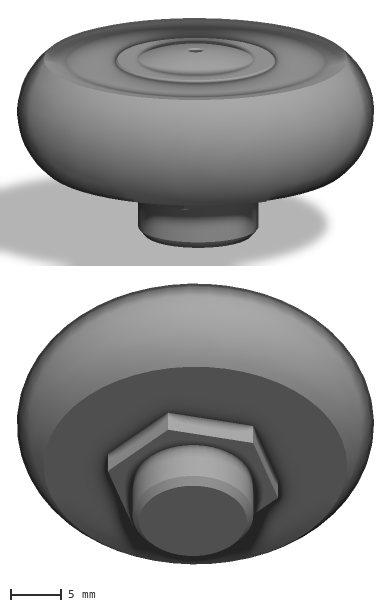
import cadquery as cq

wheel_radius = 17.78
wheel_height = 10.9
wheel_face_radius = 15.1
dish_floor_radius = 12.98
dish_depth = 0.25

hub_base_radius = 8.0
hub_top_radius = 7.8
dome_base_radius = 5.75
dimple_radius = 0.8
dimple_depth = dimple_radius

eccentricity = 0.35
hex_across_corners = 17.42
hex_height = 2.25
stub_radius = 6.0
stub_height = 4.8
chamfer_height = 0.75
chamfer_width = 0.65

overall_height = 18.88
wheel_bottom = stub_height + hex_height
wheel_middle = wheel_bottom + wheel_height / 2
wheel_top = wheel_bottom + wheel_height
dish_floor = wheel_top - dish_depth

dimple_rim_rise = overall_height - wheel_top
sphere_drop = (dome_base_radius**2 - dimple_radius**2 - dimple_rim_rise**2) / (2 * dimple_rim_rise)
sphere_radius = (dome_base_radius**2 + sphere_drop**2) ** 0.5


def dome_height_at(radius):
    return wheel_top - sphere_drop + (sphere_radius**2 - radius**2) ** 0.5


def make_wheel():
    """Revolve the crowned rim, shallow dish, raised hub and dimpled dome."""
    dome_mid_radius = (dome_base_radius + dimple_radius) / 2
    return (
        cq.Workplane("XZ")
        .moveTo(0, wheel_bottom)
        .lineTo(wheel_face_radius, wheel_bottom)
        .threePointArc((wheel_radius, wheel_middle), (wheel_face_radius, wheel_top))
        .lineTo(dish_floor_radius, dish_floor)
        .lineTo(hub_base_radius, dish_floor)
        .lineTo(hub_top_radius, wheel_top)
        .lineTo(dome_base_radius, wheel_top)
        .threePointArc(
            (dome_mid_radius, dome_height_at(dome_mid_radius)),
            (dimple_radius, overall_height),
        )
        .lineTo(0, overall_height - dimple_depth)
        .close()
        .revolve(360, (0, 0), (0, 1))
    )


def make_hexagon():
    """Hexagon with two corners along X."""
    return (
        cq.Workplane("XY", origin=(eccentricity, 0, stub_height))
        .polygon(6, hex_across_corners)
        .extrude(hex_height)
    )


def make_stub():
    """Round stub with an unequal-leg chamfer at its lower end."""
    return (
        cq.Workplane("XY", origin=(eccentricity, 0, 0))
        .circle(stub_radius)
        .extrude(stub_height)
        .faces("<Z")
        .chamfer(chamfer_height, chamfer_width)
    )


result = make_wheel().union(make_hexagon()).union(make_stub())